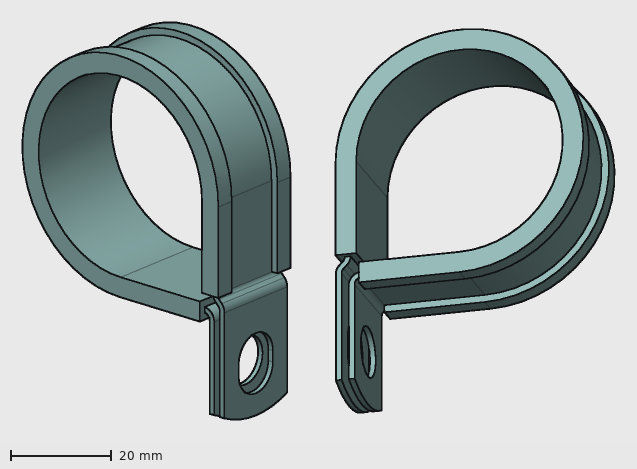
import cadquery as cq
import math


bore_radius = 21.4
sleeve_thickness = 4.3
sleeve_width = 22.1
channel_width = 13.9
channel_depth = 1.5
upright_leg_length = 19.45
level_leg_length = 20.85

strap_thickness = 1.2
strap_width = 19.2
bend_inner_radius = 1.3
tab_gap = 1.5

overall_height = 73.29
tab_end_sag = 2.15
hole_diameter = 10.4
slot_length = 12.8
hole_to_tab_end = 11.15

sleeve_radius = bore_radius + sleeve_thickness
strap_outer_radius = sleeve_radius - channel_depth
strap_inner_radius = strap_outer_radius - strap_thickness
bend_outer_radius = bend_inner_radius + strap_thickness
tab_bottom = sleeve_radius - overall_height

inner_tab_right = level_leg_length + bend_outer_radius
inner_tab_left = inner_tab_right - strap_thickness
outer_tab_left = inner_tab_right + tab_gap
outer_tab_right = outer_tab_left + strap_thickness


def polar(center, radius, degrees):
    """Point on a circle, with the angle measured from +X towards +Z."""
    angle = math.radians(degrees)
    return (center[0] + radius * math.cos(angle), center[1] + radius * math.sin(angle))


def extrude_across(profile, width):
    """Extrude an XZ profile to the given width, centred on Y = 0."""
    return profile.extrude(width / 2, both=True)


def loop_band(outer_radius, width):
    """Three-quarter loop from the bore to outer_radius, with a straight leg at each end."""
    profile = (
        cq.Workplane("XZ")
        .moveTo(outer_radius, -upright_leg_length)
        .lineTo(outer_radius, 0)
        .threePointArc(polar((0, 0), outer_radius, 135), (0, -outer_radius))
        .lineTo(level_leg_length, -outer_radius)
        .lineTo(level_leg_length, -bore_radius)
        .lineTo(0, -bore_radius)
        .threePointArc(polar((0, 0), bore_radius, 135), (bore_radius, 0))
        .lineTo(bore_radius, -upright_leg_length)
        .close()
    )
    return extrude_across(profile, width)


def clip_loop():
    """Sleeve with the strap lying flush in the channel between its two rims."""
    channel = loop_band(sleeve_radius, channel_width).cut(loop_band(strap_outer_radius, channel_width))
    return loop_band(sleeve_radius, sleeve_width).cut(channel)


def inner_tab():
    """Strap end leaving the level leg and turning a quarter bend downwards."""
    bend_center = (level_leg_length, -strap_inner_radius - bend_outer_radius)
    profile = (
        cq.Workplane("XZ")
        .moveTo(*polar(bend_center, bend_outer_radius, 90))
        .threePointArc(polar(bend_center, bend_outer_radius, 45), polar(bend_center, bend_outer_radius, 0))
        .lineTo(inner_tab_right, tab_bottom)
        .lineTo(inner_tab_left, tab_bottom)
        .lineTo(*polar(bend_center, bend_inner_radius, 0))
        .threePointArc(polar(bend_center, bend_inner_radius, 45), polar(bend_center, bend_inner_radius, 90))
        .close()
    )
    return extrude_across(profile, strap_width)


def outer_tab():
    """Strap end leaving the upright leg and stepping outwards through a 45 degree joggle."""
    joggle_angle = 45
    half_angle = joggle_angle / 2
    step = outer_tab_right - strap_outer_radius
    bend_radii = bend_inner_radius + bend_outer_radius
    slope_offset = step - bend_radii * (1 - math.cos(math.radians(joggle_angle)))
    slope_drop = slope_offset / math.tan(math.radians(joggle_angle))
    joggle_height = bend_radii * math.sin(math.radians(joggle_angle)) + slope_drop

    upper_center = (strap_outer_radius + bend_inner_radius, -upright_leg_length)
    lower_center = (outer_tab_left - bend_inner_radius, -upright_leg_length - joggle_height)

    def upper(radius, turn):
        return polar(upper_center, radius, 180 + turn)

    def lower(radius, turn):
        return polar(lower_center, radius, turn)

    profile = (
        cq.Workplane("XZ")
        .moveTo(*upper(bend_inner_radius, 0))
        .threePointArc(upper(bend_inner_radius, half_angle), upper(bend_inner_radius, joggle_angle))
        .lineTo(*lower(bend_outer_radius, joggle_angle))
        .threePointArc(lower(bend_outer_radius, half_angle), lower(bend_outer_radius, 0))
        .lineTo(outer_tab_right, tab_bottom)
        .lineTo(outer_tab_left, tab_bottom)
        .lineTo(*lower(bend_inner_radius, 0))
        .threePointArc(lower(bend_inner_radius, half_angle), lower(bend_inner_radius, joggle_angle))
        .lineTo(*upper(bend_outer_radius, joggle_angle))
        .threePointArc(upper(bend_outer_radius, half_angle), upper(bend_outer_radius, 0))
        .close()
    )
    return extrude_across(profile, strap_width)


def rounded_tab_end():
    """Block along X, used to trim the lower end of both tabs to an arc."""
    half_width = strap_width / 2
    corner_z = tab_bottom + tab_end_sag
    return (
        cq.Workplane("YZ")
        .moveTo(-half_width, 0)
        .lineTo(-half_width, corner_z)
        .threePointArc((0, tab_bottom), (half_width, corner_z))
        .lineTo(half_width, 0)
        .close()
        .extrude(outer_tab_right)
    )


def bolt_axis():
    """Workplane facing +X, centred on the bolt axis."""
    return cq.Workplane("YZ").center(0, tab_bottom + hole_to_tab_end)


round_hole = bolt_axis().circle(hole_diameter / 2).extrude(outer_tab_right)
upright_slot = bolt_axis().slot2D(slot_length, hole_diameter, 90).extrude(outer_tab_right)

tabs = inner_tab().cut(round_hole).union(outer_tab().cut(upright_slot))
result = clip_loop().union(tabs.intersect(rounded_tab_end()))